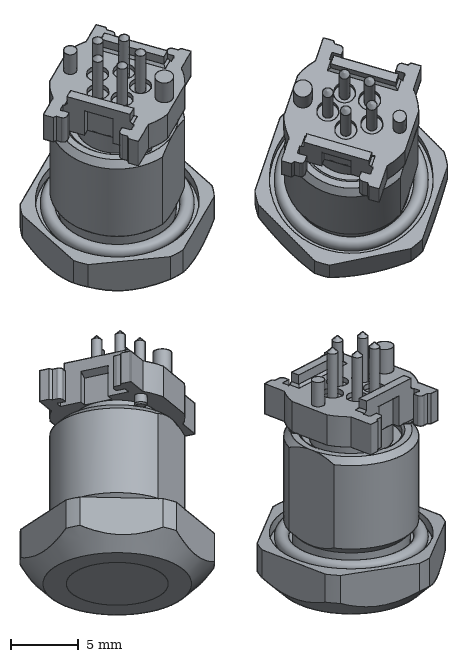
import cadquery as cq
import math

head_flats = 13.0
head_corner_radius = 14.4 / 2
head_height = 4.0
head_base_radius = 5.5
head_chamfer = head_corner_radius - head_base_radius

neck_radius = 4.37
barrel_radius = 5.0
barrel_flats = 9.0
barrel_bottom = 4.49
barrel_top = 12.5
barrel_top_chamfer = 0.5
barrel_bottom_chamfer = barrel_radius - neck_radius

bore_radius = 3.77
bore_chamfer = 0.2

ring_section_radius = 0.54
ring_outer_radius = 5.7
ring_center_radius = ring_outer_radius - ring_section_radius
recess_radius = 6.05
recess_floor = 3.15

plug_top = 11.81
stem_radius = 3.1

plate_bottom = 13.54
plate_top = 16.04
plate_thickness = plate_top - plate_bottom
plate_radius = 5.0
plate_width = 9.4
legs_width = 7.6
legs_length = 10.4

slot_floor = 3.67
jaw_inner = 4.27
jaw_outer = 4.98
slot_half_width = 2.84
jaw_half_gap = 2.1
mouth_half_width = 3.0
jaw_round = 0.34
leg_corner_fillet = 0.05
slot_corner_fillet = 0.12

tab_width = 5.05
tab_thickness = 0.71
tab_top = 17.0
tab_bevel = 0.2

window_width = 2.26
window_depth = slot_floor - stem_radius
window_slope = 0.32

post_offset = 3.75
post_top = 18.05
left_post_radius = 0.5
right_post_radius = 0.7

peg_radius = 0.48
peg_length = 0.8
peg_chamfer = 0.12
peg_x = 3.3
peg_y = 2.6

pin_radius = 0.4
pin_top = 19.85
pin_hole_radius = 0.81
pin_hole_depth = 0.4
pin_places = [(0, 1.35), (-1.7, 0.35), (1.7, 0.35), (-0.97, -1.43), (0.97, -1.43)]


def cylinder(radius, bottom, top, x=0.0, y=0.0):
    return cq.Workplane("XY", origin=(x, y, bottom)).circle(radius).extrude(top - bottom)


def block(x_size, y_size, bottom, top, y=0.0):
    return cq.Workplane("XY", origin=(0, y, bottom)).rect(x_size, y_size).extrude(top - bottom)


def turned(profile):
    """Solid of revolution about Z from (radius, height) points."""
    return cq.Workplane("XZ").polyline(profile).close().revolve(360, (0, 0), (0, 1))


def both_sides(shape):
    """The shape together with its mirror image on the opposite Y side."""
    return shape.union(shape.mirror("XZ"))


def make_head():
    hexagon = (
        cq.Workplane("XY")
        .polygon(6, head_flats / math.cos(math.pi / 6))
        .extrude(head_height)
        .rotate((0, 0, 0), (0, 0, 1), 30)
    )
    envelope = turned([
        (0, 0),
        (head_base_radius, 0),
        (head_corner_radius, head_chamfer),
        (head_corner_radius, head_height),
        (0, head_height),
    ])
    return hexagon.intersect(envelope).cut(cylinder(recess_radius, recess_floor, head_height))


def make_barrel():
    barrel = turned([
        (0, barrel_bottom),
        (neck_radius, barrel_bottom),
        (barrel_radius, barrel_bottom + barrel_bottom_chamfer),
        (barrel_radius, barrel_top - barrel_top_chamfer),
        (barrel_radius - barrel_top_chamfer, barrel_top),
        (0, barrel_top),
    ])
    return barrel.intersect(block(barrel_flats, 2 * barrel_radius, barrel_bottom, barrel_top))


def make_bore():
    return turned([
        (0, 0),
        (bore_radius, 0),
        (bore_radius, barrel_top - bore_chamfer),
        (bore_radius + bore_chamfer, barrel_top),
        (0, barrel_top),
    ])


def make_housing():
    neck = cylinder(neck_radius, recess_floor, barrel_bottom)
    return make_head().union(neck).union(make_barrel()).cut(make_bore())


def make_sealing_ring():
    ring_center_height = recess_floor + ring_section_radius
    return (
        cq.Workplane("XZ")
        .center(ring_center_radius, ring_center_height)
        .circle(ring_section_radius)
        .revolve(360, (-ring_center_radius, 0), (-ring_center_radius, 1))
    )


def make_slot():
    """Slot on the +Y side, drawn for +X and mirrored."""
    legs_end = legs_length / 2
    half = (
        cq.Workplane("XY", origin=(0, 0, plate_bottom))
        .moveTo(0, slot_floor)
        .lineTo(slot_half_width, slot_floor)
        .lineTo(slot_half_width, jaw_inner - slot_corner_fillet)
        .tangentArcPoint((slot_half_width - slot_corner_fillet, jaw_inner), relative=False)
        .lineTo(jaw_half_gap, jaw_inner)
        .lineTo(jaw_half_gap, jaw_outer - jaw_round)
        .tangentArcPoint((jaw_half_gap + jaw_round, jaw_outer), relative=False)
        .lineTo(slot_half_width, jaw_outer)
        .lineTo(mouth_half_width, legs_end)
        .lineTo(0, legs_end)
        .close()
        .extrude(plate_thickness)
    )
    return half.union(half.mirror("YZ"))


def make_plate():
    disc = cylinder(plate_radius, plate_bottom, plate_top)
    body = disc.intersect(block(plate_width, 2 * plate_radius, plate_bottom, plate_top))
    legs = block(legs_width, legs_length, plate_bottom, plate_top).edges("|Z").fillet(leg_corner_fillet)
    return body.union(legs).cut(both_sides(make_slot()))


def make_tab():
    """Upright tab on the -Y side, flush with the slot floor, bevelled at its foot."""
    upright = block(tab_width, tab_thickness, plate_top, tab_top, tab_thickness / 2 - slot_floor)
    foot = (
        cq.Workplane("XY", origin=(0, -slot_floor, plate_top))
        .rect(tab_width + 2 * tab_bevel, 2 * (tab_thickness + tab_bevel))
        .extrude(tab_bevel, taper=45)
    )
    behind_slot_floor = block(legs_width, slot_floor, plate_top, tab_top, -slot_floor / 2)
    return upright.union(foot.intersect(behind_slot_floor))


def make_window():
    """Recess below the tab on the -Y side, with a ceiling that slopes down inwards."""
    return (
        cq.Workplane("YZ", origin=(-window_width / 2, 0, 0))
        .polyline([
            (-slot_floor, plate_bottom),
            (-slot_floor, plate_top),
            (-slot_floor + window_depth, plate_top - window_slope),
            (-slot_floor + window_depth, plate_bottom),
        ])
        .close()
        .extrude(window_width)
    )


def make_pin(x, y):
    shoulder = pin_top - pin_radius
    pin = turned([
        (0, plate_bottom),
        (pin_radius, plate_bottom),
        (pin_radius, shoulder),
        (0, pin_top),
    ])
    return pin.translate((x, y, 0))


def make_peg(x, y):
    peg = cylinder(peg_radius, plate_bottom - peg_length, plate_bottom, x, y)
    return peg.faces("<Z").chamfer(peg_chamfer)


def make_insert():
    insert = make_plate().union(both_sides(make_tab())).cut(both_sides(make_window()))
    insert = insert.union(cylinder(bore_radius, 0, plug_top))
    insert = insert.union(cylinder(stem_radius, plug_top, plate_bottom))
    insert = insert.union(cylinder(left_post_radius, plate_top, post_top, -post_offset))
    insert = insert.union(cylinder(right_post_radius, plate_top, post_top, post_offset))
    for side in (-1, 1):
        insert = insert.union(make_peg(side * peg_x, -side * peg_y))
    for x, y in pin_places:
        insert = insert.cut(cylinder(pin_hole_radius, plate_top - pin_hole_depth, plate_top, x, y))
        insert = insert.union(make_pin(x, y))
    return insert


housing = make_housing()
sealing_ring = make_sealing_ring()
insert = make_insert()

result = cq.Compound.makeCompound([housing.val(), sealing_ring.val(), insert.val()])